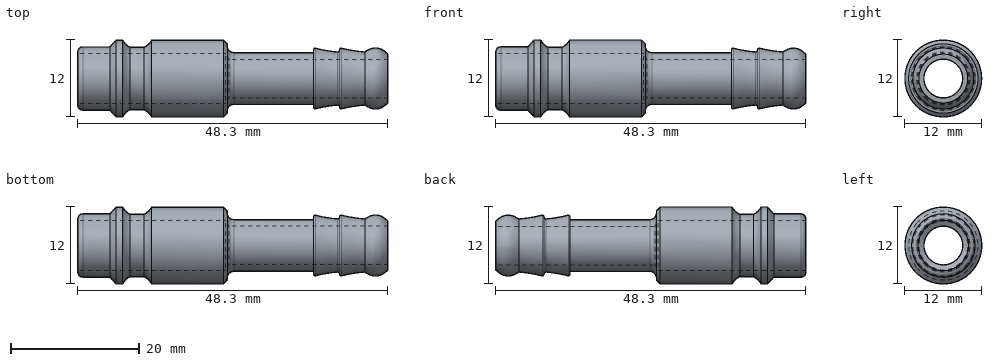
import cadquery as cq
import math

length = 48.3
body_radius = 12.0 / 2

spigot_radius = 9.9 / 2
spigot_edge_round = 0.8
collar_bevel_start = 5.0
collar_start = 6.0
collar_end = 7.0
groove_radius = 9.75 / 2
groove_start = 8.15
groove_end = 10.3
groove_flank_radius = 2.5

body_start = 11.5
body_end = 23.3
body_chamfer = 0.6
stem_radius = 8.1 / 2
stem_fillet = 1.0

first_barb_start = 36.7
second_barb_start = 40.45
barb_crest_radius = 9.5 / 2
barb_root_radius = 8.3 / 2
barb_edge_round = 0.3
barb_hollow = 0.08
tip_start = 44.7
tip_crest = 46.5
tip_crest_radius = 9.55 / 2
tip_end_radius = 7.6 / 2

bore_radius = 6.0 / 2
entry_radius = 7.85 / 2
entry_depth = 23.0
entry_cone_half_angle = 60.0

corner_inset = 1 - math.sqrt(0.5)


def add_spigot(path):
    """Spigot with a rounded front edge."""
    inset = spigot_edge_round * corner_inset
    return (
        path.lineTo(0, spigot_radius - spigot_edge_round)
        .threePointArc((inset, spigot_radius - inset), (spigot_edge_round, spigot_radius))
        .lineTo(collar_bevel_start, spigot_radius)
    )


def add_collar_and_groove(path):
    """Bevelled collar, then a groove whose two flanks are hollow arcs."""
    return (
        path.lineTo(collar_start, body_radius)
        .lineTo(collar_end, body_radius)
        .radiusArc((groove_start, groove_radius), -groove_flank_radius)
        .lineTo(groove_end, groove_radius)
        .radiusArc((body_start, body_radius), -groove_flank_radius)
    )


def add_body_and_stem(path):
    """Body with a chamfered rear edge, then a smooth stem filleted to the rear face."""
    inset = stem_fillet * corner_inset
    return (
        path.lineTo(body_end - body_chamfer, body_radius)
        .lineTo(body_end, body_radius - body_chamfer)
        .lineTo(body_end, stem_radius + stem_fillet)
        .threePointArc(
            (body_end + inset, stem_radius + inset),
            (body_end + stem_fillet, stem_radius),
        )
        .lineTo(first_barb_start, stem_radius)
    )


def add_barb_flank(path, crest, end):
    """Slightly hollow flank falling from a barb's crest to its root."""
    middle_radius = (barb_crest_radius + barb_root_radius) / 2 - barb_hollow
    return path.threePointArc(((crest + end) / 2, middle_radius), (end, barb_root_radius))


def add_first_barb(path):
    """Barb with a square front face and a rounded crest."""
    crest = first_barb_start + barb_edge_round
    inset = barb_edge_round * corner_inset
    path = (
        path.lineTo(first_barb_start, barb_crest_radius - barb_edge_round)
        .threePointArc(
            (first_barb_start + inset, barb_crest_radius - inset),
            (crest, barb_crest_radius),
        )
    )
    return add_barb_flank(path, crest, second_barb_start)


def add_second_barb(path):
    """Barb that rises from the first barb's root in an S of two quarter arcs."""
    bend = (barb_crest_radius - barb_root_radius) / 2
    inset = bend * corner_inset
    middle = second_barb_start + bend
    crest = middle + bend
    path = (
        path.threePointArc(
            (middle - inset, barb_root_radius + inset),
            (middle, barb_root_radius + bend),
        )
        .threePointArc((middle + inset, barb_crest_radius - inset), (crest, barb_crest_radius))
    )
    return add_barb_flank(path, crest, tip_start)


def add_tip(path):
    """Bulging tip that ends in a flat face."""
    return path.spline(
        [(tip_crest, tip_crest_radius), (length, tip_end_radius)],
        includeCurrent=True,
    )


def revolve_about_x(path):
    return path.close().revolve(360, (0, 0, 0), (1, 0, 0))


def make_outside():
    path = cq.Workplane("XY").moveTo(0, 0)
    path = add_spigot(path)
    path = add_collar_and_groove(path)
    path = add_body_and_stem(path)
    path = add_first_barb(path)
    path = add_second_barb(path)
    path = add_tip(path)
    return revolve_about_x(path.lineTo(length, 0))


def make_bore():
    cone_length = (entry_radius - bore_radius) / math.tan(math.radians(entry_cone_half_angle))
    path = (
        cq.Workplane("XY")
        .moveTo(0, 0)
        .lineTo(0, entry_radius)
        .lineTo(entry_depth, entry_radius)
        .lineTo(entry_depth + cone_length, bore_radius)
        .lineTo(length, bore_radius)
        .lineTo(length, 0)
    )
    return revolve_about_x(path)


result = make_outside().cut(make_bore())